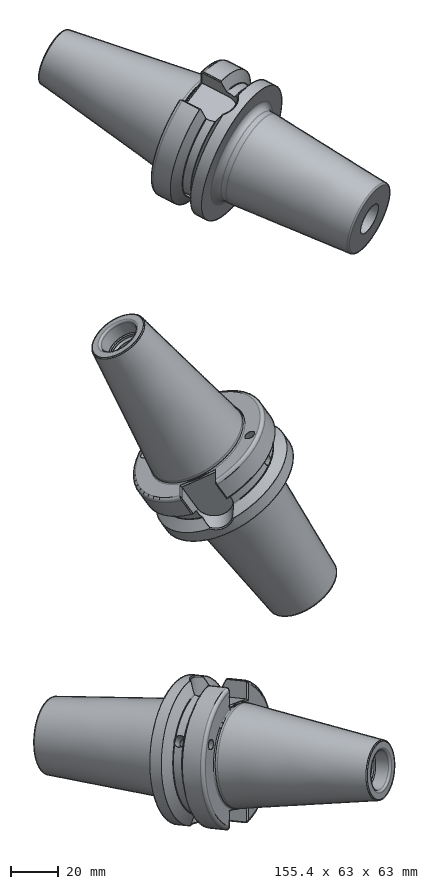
import cadquery as cq
import math

GAUGE_DIA = 44.45
TAPER_RATIO = 7 / 24
TAPER_LENGTH = 65.4
SHANK_EDGE = 0.4
NECK_FILLET = 0.5

FLANGE_DIA = 63.0
FLANGE_FRONT_X = 1.6
FLANGE_REAR_X = 27.0
FLANGE_FRONT_RADIUS = 1.5

GROOVE_X = 16.6
GROOVE_FLOOR_DIA = 53.0
GROOVE_FLOOR_WIDTH = 4.2
GROOVE_WALL_ANGLE = 30.0
GROOVE_FILLET = 0.3

NOSE_END_X = 90.0
NOSE_DIA = 42.0
NOSE_TIP_DIA = 33.0
NOSE_STRAIGHT_END_X = 32.5
NOSE_FILLET = 3.0
NOSE_EDGE_FILLET = 0.8

SLOT_WIDTH = 16.1
SLOT_FLOOR_Z = 22.5
SLOT_END_X = 23.4
SLOT_EDGE = 0.5
SLOT_FLARE_LENGTH = 0.8
SLOT_RIM_MIN_Z = 30.0

ENTRY_DIA = 17.0
ENTRY_RADIUS = 1.0
ENTRY_DEPTH = 7.0
THREAD_RELIEF_DIA = 16.0
THREAD_RELIEF_LENGTH = 1.0
BORE_DIA = 14.0

COOLANT_ANGLE = 20.0
COOLANT_RADIUS = 26.7
COOLANT_DIA = 4.2
COOLANT_SLOPE = 25.0
SCREW_HOLE_DIA = 4.9

OVERSHOOT = 5.0
DIAGONAL = math.sqrt(0.5)


def body():
    """Revolve the outer outline around the X axis."""
    flange_r = FLANGE_DIA / 2
    gauge_r = GAUGE_DIA / 2
    nose_r = NOSE_DIA / 2
    groove_r = GROOVE_FLOOR_DIA / 2
    shank_end_x = -TAPER_LENGTH
    shank_end_r = gauge_r - TAPER_LENGTH * TAPER_RATIO / 2
    floor_half = GROOVE_FLOOR_WIDTH / 2
    rim_half = floor_half + (flange_r - groove_r) * math.tan(math.radians(GROOVE_WALL_ANGLE))
    corner_mid = FLANGE_FRONT_RADIUS * (1 - DIAGONAL)
    neck_mid = NECK_FILLET * (1 - DIAGONAL)
    nose_mid = NOSE_FILLET * (1 - DIAGONAL)
    outline = (
        cq.Workplane("XZ")
        .moveTo(shank_end_x, 0)
        .lineTo(shank_end_x, shank_end_r - SHANK_EDGE)
        .lineTo(shank_end_x + SHANK_EDGE, shank_end_r + SHANK_EDGE * TAPER_RATIO / 2)
        .lineTo(0, gauge_r)
        .lineTo(FLANGE_FRONT_X - NECK_FILLET, gauge_r)
        .threePointArc(
            (FLANGE_FRONT_X - neck_mid, gauge_r + neck_mid),
            (FLANGE_FRONT_X, gauge_r + NECK_FILLET),
        )
        .lineTo(FLANGE_FRONT_X, flange_r - FLANGE_FRONT_RADIUS)
        .threePointArc(
            (FLANGE_FRONT_X + corner_mid, flange_r - corner_mid),
            (FLANGE_FRONT_X + FLANGE_FRONT_RADIUS, flange_r),
        )
        .lineTo(GROOVE_X - rim_half, flange_r)
        .lineTo(GROOVE_X - floor_half, groove_r)
        .lineTo(GROOVE_X + floor_half, groove_r)
        .lineTo(GROOVE_X + rim_half, flange_r)
        .lineTo(FLANGE_REAR_X, flange_r)
        .lineTo(FLANGE_REAR_X, nose_r + NOSE_FILLET)
        .threePointArc(
            (FLANGE_REAR_X + nose_mid, nose_r + nose_mid),
            (FLANGE_REAR_X + NOSE_FILLET, nose_r),
        )
        .lineTo(NOSE_STRAIGHT_END_X, nose_r)
        .lineTo(NOSE_END_X, NOSE_TIP_DIA / 2)
        .lineTo(NOSE_END_X, 0)
        .close()
    )
    turned = outline.revolve(360, (0, 0, 0), (1, 0, 0))
    groove_floor = cq.selectors.BoxSelector(
        (GROOVE_X - GROOVE_FLOOR_WIDTH, -FLANGE_DIA, -FLANGE_DIA),
        (GROOVE_X + GROOVE_FLOOR_WIDTH, FLANGE_DIA, FLANGE_DIA),
    )
    turned = turned.edges("%CIRCLE").edges(groove_floor).fillet(GROOVE_FILLET)
    return turned.faces(">X").edges().fillet(NOSE_EDGE_FILLET)


def bore():
    """Through bore with a rounded entry and a stepped thread lead-in at the shank end."""
    start_x = -TAPER_LENGTH
    entry_r = ENTRY_DIA / 2
    relief_r = THREAD_RELIEF_DIA / 2
    bore_r = BORE_DIA / 2
    round_mid = ENTRY_RADIUS * (1 - DIAGONAL)
    entry_end_x = start_x + ENTRY_DEPTH
    relief_start_x = entry_end_x + entry_r - relief_r
    relief_end_x = relief_start_x + THREAD_RELIEF_LENGTH
    outline = (
        cq.Workplane("XZ")
        .moveTo(start_x, 0)
        .lineTo(start_x, entry_r + ENTRY_RADIUS)
        .threePointArc(
            (start_x + round_mid, entry_r + round_mid),
            (start_x + ENTRY_RADIUS, entry_r),
        )
        .lineTo(entry_end_x, entry_r)
        .lineTo(relief_start_x, relief_r)
        .lineTo(relief_end_x, relief_r)
        .lineTo(relief_end_x + relief_r - bore_r, bore_r)
        .lineTo(NOSE_END_X, bore_r)
        .lineTo(NOSE_END_X, 0)
        .close()
    )
    return outline.revolve(360, (0, 0, 0), (1, 0, 0))


def drive_slot():
    """Round-ended cutter above the +Z slot floor."""
    slot_r = SLOT_WIDTH / 2
    round_x = SLOT_END_X - slot_r
    return (
        cq.Workplane("XY", origin=(0, 0, SLOT_FLOOR_Z))
        .moveTo(FLANGE_FRONT_X, -slot_r)
        .lineTo(round_x, -slot_r)
        .threePointArc((SLOT_END_X, 0), (round_x, slot_r))
        .lineTo(FLANGE_FRONT_X, slot_r)
        .close()
        .extrude(FLANGE_DIA / 2)
    )


def slot_flare():
    """Cutter that bevels the floor and both walls of the +Z slot at the flange face."""
    wide = SLOT_WIDTH + 2 * SLOT_EDGE
    height = FLANGE_DIA / 2
    return (
        cq.Workplane("YZ", origin=(FLANGE_FRONT_X, 0, SLOT_FLOOR_Z))
        .center(0, (height - SLOT_EDGE) / 2)
        .rect(wide, height + SLOT_EDGE)
        .workplane(offset=SLOT_FLARE_LENGTH)
        .center(0, SLOT_EDGE / 2)
        .rect(SLOT_WIDTH, height)
        .loft(ruled=True)
    )


def with_drive_slots(blank):
    """Cut both slots, break their edges along the flange rim and flare their front ends."""
    slotted = blank.cut(twice_around(drive_slot(), 0))
    for low_z, high_z in ((SLOT_RIM_MIN_Z, FLANGE_DIA), (-FLANGE_DIA, -SLOT_RIM_MIN_Z)):
        rim_edges = cq.selectors.BoxSelector(
            (FLANGE_FRONT_X + FLANGE_FRONT_RADIUS, -SLOT_WIDTH, low_z),
            (SLOT_END_X, SLOT_WIDTH, high_z),
        )
        slotted = slotted.edges(rim_edges).chamfer(SLOT_EDGE)
    return slotted.cut(twice_around(slot_flare(), 0))


def coolant_passage():
    """Inclined hole and the radial hole that meets it, both in the XY plane on the +Y side."""
    slope = math.radians(COOLANT_SLOPE)
    axis = cq.Vector(math.cos(slope), -math.sin(slope), 0)
    mouth = cq.Vector(FLANGE_FRONT_X, COOLANT_RADIUS, 0)
    start = mouth - axis * OVERSHOOT
    length = OVERSHOOT + COOLANT_RADIUS / math.sin(slope)
    inclined = cq.Solid.makeCylinder(COOLANT_DIA / 2, length, start, axis)
    meeting_r = COOLANT_RADIUS - (GROOVE_X - FLANGE_FRONT_X) * math.tan(slope)
    radial = cq.Solid.makeCylinder(
        SCREW_HOLE_DIA / 2,
        GROOVE_FLOOR_DIA / 2 - meeting_r,
        cq.Vector(GROOVE_X, meeting_r, 0),
        cq.Vector(0, 1, 0),
    )
    return cq.Workplane(inclined).union(cq.Workplane(radial))


def twice_around(cutter, start_angle):
    """The cutter turned to start_angle about X, plus its copy half a turn away."""
    first = cutter.rotate((0, 0, 0), (1, 0, 0), start_angle)
    return first.union(first.rotate((0, 0, 0), (1, 0, 0), 180))


result = (
    with_drive_slots(body())
    .cut(twice_around(coolant_passage(), COOLANT_ANGLE))
    .cut(bore())
)